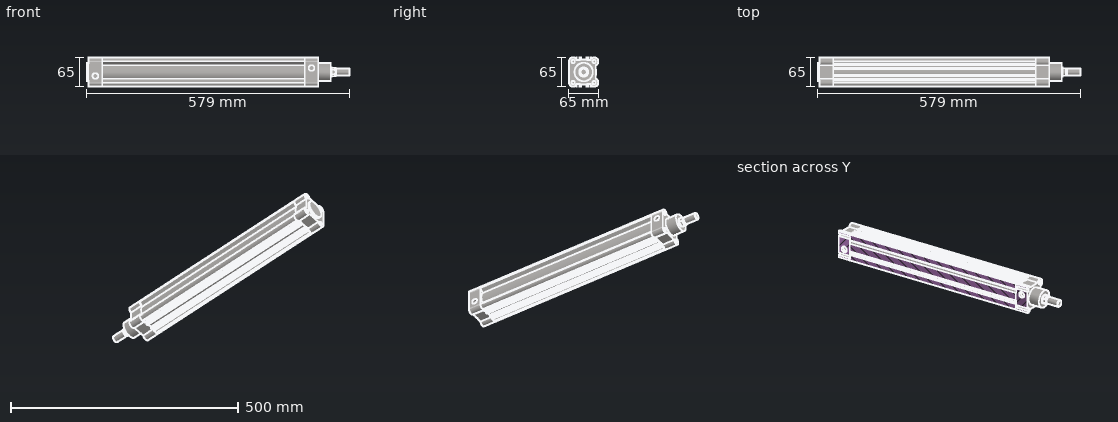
import cadquery as cq
import math


total_length = 579.0
rear_cap_start = 4.0
cap_length = 30.0
tube_start = rear_cap_start + cap_length
front_cap_start = 480.0
front_cap_end = front_cap_start + cap_length
collar_end = 537.5
flats_start = 539.0
taper_start = 546.0
thread_start = 549.5

half_width = 32.5
corner_radius = 9.0
corner_center = half_width - corner_radius
arc_middle = corner_center + corner_radius * math.sqrt(0.5)

recess_face = 26.5
collar_diameter = 40.5
bolt_hole_diameter = 7.5
port_diameter = 13.0
port_depth = 13.0
port_height = 8.5

tube_radius = 28.0
lobe_root_near = 15.0
lobe_root_far = math.sqrt(tube_radius**2 - lobe_root_near**2)
slot_center = 12.0
slot_opening = 5.0
slot_width = 7.5
rail_inner_side = 6.0
rail_outer_root = 19.5
rail_outer_top = 16.0
rail_root_height = 26.0
slot_floor = 25.5
lip_thickness = 2.5

rod_diameter = 20.0
wrench_diameter = 19.5
rod_flats_width = 17.5
thread_diameter = 16.0
thread_chamfer = 1.0


def rod_along_x(start, length, diameter):
    """Plain round bar on the X axis."""
    return cq.Workplane("YZ").workplane(offset=start).circle(diameter / 2).extrude(length)


def make_cap(start, port_z):
    """Square end cap: round corners, recesses on +Y, +Z and -Z, and a port in the flat -Y side."""
    section = cq.Workplane("YZ").workplane(offset=start)
    corners = [(y, z) for y in (-corner_center, corner_center) for z in (-corner_center, corner_center)]
    core = section.rect(2 * recess_face, 2 * recess_face).extrude(cap_length)
    lobes = section.pushPoints(corners).circle(corner_radius).extrude(cap_length)
    flat_side = (
        section.center(-corner_center, 0)
        .rect(2 * corner_radius, 2 * corner_center)
        .extrude(cap_length)
    )
    cap = core.union(lobes).union(flat_side)

    bolt_holes = section.pushPoints(corners).circle(bolt_hole_diameter / 2).extrude(cap_length)
    port = (
        cq.Workplane("XZ", origin=(start + cap_length / 2, -half_width, port_z))
        .circle(port_diameter / 2)
        .extrude(-port_depth)
    )
    return cap.cut(bolt_holes).cut(port)


def make_rear_cap():
    """Rear cap with a centring boss on its outer face."""
    boss = rod_along_x(0, rear_cap_start, collar_diameter)
    return make_cap(rear_cap_start, -port_height).union(boss)


def make_front_cap():
    """Front cap with the collar around the rod."""
    collar = rod_along_x(front_cap_end, collar_end - front_cap_end, collar_diameter)
    return make_cap(front_cap_start, port_height).union(collar)


def make_corner_lobe(length):
    """Corner lobe of the tube at +Y +Z, with slanted flanks down to the round core."""
    return (
        cq.Workplane("YZ")
        .workplane(offset=tube_start)
        .moveTo(lobe_root_near, lobe_root_far)
        .lineTo(corner_center, half_width)
        .threePointArc((arc_middle, arc_middle), (half_width, corner_center))
        .lineTo(lobe_root_far, lobe_root_near)
        .close()
        .extrude(length)
    )


def make_slot_rail(length):
    """Rail on the +Z side at +Y, and the shape of its slot, which a lip narrows on each side."""
    section = cq.Workplane("YZ").workplane(offset=tube_start)
    lip_bottom = half_width - lip_thickness
    rail = (
        section.moveTo(rail_inner_side, 0)
        .lineTo(rail_inner_side, half_width)
        .lineTo(rail_outer_top, half_width)
        .lineTo(rail_outer_root, rail_root_height)
        .lineTo(rail_outer_root, 0)
        .close()
        .extrude(length)
    )
    slot_height = lip_bottom - slot_floor
    slot = (
        section.center(slot_center, slot_floor + slot_height / 2)
        .rect(slot_width, slot_height)
        .extrude(length)
    )
    opening = section.center(slot_center, lip_bottom).rect(slot_opening, 2 * lip_thickness).extrude(length)
    return rail, slot.union(opening)


def make_tube():
    """Round core with four corner lobes and two slotted rails each on the +Z and -Z sides."""
    length = front_cap_start - tube_start
    quarter = make_corner_lobe(length)
    rail, slot = make_slot_rail(length)
    quarter = quarter.union(rail)
    half = quarter.union(quarter.mirror("XZ"))
    slots = slot.union(slot.mirror("XZ"))
    tube = rod_along_x(tube_start, length, 2 * tube_radius)
    tube = tube.union(half).union(half.mirror("XY"))
    return tube.cut(slots).cut(slots.mirror("XY"))


def make_rod():
    """Piston rod end: shoulder, thinner part with two wrench flats, taper and chamfered threaded end."""
    rod_radius = rod_diameter / 2
    wrench_radius = wrench_diameter / 2
    thread_radius = thread_diameter / 2
    rod = (
        cq.Workplane("XY")
        .moveTo(collar_end, 0)
        .lineTo(collar_end, rod_radius)
        .lineTo(flats_start, rod_radius)
        .lineTo(flats_start, wrench_radius)
        .lineTo(taper_start, wrench_radius)
        .lineTo(thread_start, thread_radius)
        .lineTo(total_length - thread_chamfer, thread_radius)
        .lineTo(total_length, thread_radius - thread_chamfer)
        .lineTo(total_length, 0)
        .close()
        .revolve(360, (0, 0, 0), (1, 0, 0))
    )
    flats_length = thread_start - flats_start
    for side in (-1, 1):
        flat_cut = cq.Workplane("XY").box(flats_length, rod_radius, rod_diameter).translate(
            (flats_start + flats_length / 2, side * (rod_flats_width + rod_radius) / 2, 0)
        )
        rod = rod.cut(flat_cut)
    return rod


rear_cap = make_rear_cap()
tube = make_tube()
front_cap = make_front_cap()
rod = make_rod()

result = cq.Compound.makeCompound([rear_cap.val(), tube.val(), front_cap.val(), rod.val()])